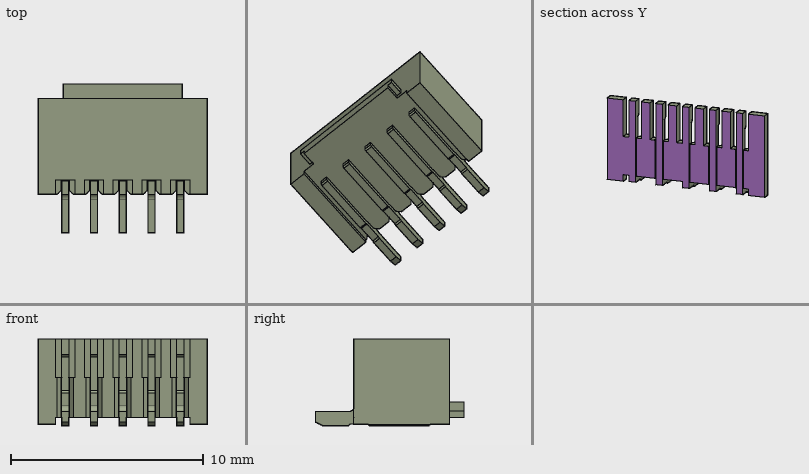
import cadquery as cq

HOUSING_WIDTH = 8.8
HOUSING_DEPTH = 5.0
HOUSING_HEIGHT = 4.45

PIN_COUNT = 5
PIN_PITCH = 1.5
PIN_WIDTH = 0.39

SLOT_WIDTH = 1.0
SLOT_DEPTH = 0.76
SLOT_HEIGHT = 2.0
GROOVE_WIDTH = 0.85
PASSAGE_WIDTH = 0.43

CHANNEL_HEIGHT = 0.35
CHANNEL_WIDTH = (PIN_COUNT - 1) * PIN_PITCH + SLOT_WIDTH

TAB_WIDTH = 6.195
TAB_LENGTH = 0.76
TAB_TOP = 1.18
TAB_STEP_TOP = 0.71
TAB_STEP_INSET = 0.25

PIN_BACK = 0.71
HEAD_HEIGHT = 0.82
NECK_RECESS = 0.15
NECK_UPPER_SLOPE = 0.11
NECK_LOWER_SLOPE = 0.14
NECK_LENGTH = 1.86
SHANK_RECESS = 0.05
FOOT_LENGTH = 2.0
FOOT_BOTTOM = -0.07
FOOT_HEIGHT = 0.75
FOOT_FILLET = 0.32
TOE_LENGTH = 0.39
TOE_HEIGHT = 0.19
STRIP_BOTTOM = 0.02
FOOT_HEEL = 0.185
PAD_FRONT = 0.83
PAD_BACK = 4.0


def box(width, y_front, y_back, z_bottom, z_top, x_centre=0.0):
    """Block centred on x_centre between the given Y and Z limits."""
    return (
        cq.Workplane("XY")
        .box(width, y_back - y_front, z_top - z_bottom, centered=(True, False, False))
        .translate((x_centre, y_front, z_bottom))
    )


def make_tab():
    tab_back = HOUSING_DEPTH + TAB_LENGTH
    lower_width = TAB_WIDTH - 2 * TAB_STEP_INSET
    upper = box(TAB_WIDTH, HOUSING_DEPTH, tab_back, TAB_STEP_TOP, TAB_TOP)
    lower = box(lower_width, HOUSING_DEPTH, tab_back, CHANNEL_HEIGHT, TAB_STEP_TOP)
    return upper.union(lower)


def slot_cutter(x_centre):
    """Open upper slot with a bevelled groove and a narrow pin passage below it."""
    slot_floor = HOUSING_HEIGHT - SLOT_HEIGHT
    slot = box(SLOT_WIDTH, 0, SLOT_DEPTH, slot_floor, HOUSING_HEIGHT, x_centre)
    half_groove = GROOVE_WIDTH / 2
    half_passage = PASSAGE_WIDTH / 2
    bevel = half_groove - half_passage
    groove = (
        cq.Workplane("XY")
        .moveTo(-half_groove, 0)
        .lineTo(-half_passage, bevel)
        .lineTo(-half_passage, PIN_BACK)
        .lineTo(half_passage, PIN_BACK)
        .lineTo(half_passage, bevel)
        .lineTo(half_groove, 0)
        .close()
        .extrude(slot_floor)
        .translate((x_centre, 0, 0))
    )
    return slot.union(groove)


def make_pin(x_centre):
    """Upright contact with a foot in front and a strip running back under the housing."""
    neck_top = HOUSING_HEIGHT - HEAD_HEIGHT
    neck_bottom = neck_top - NECK_LENGTH
    foot_top = FOOT_BOTTOM + FOOT_HEIGHT
    pad_height = STRIP_BOTTOM - FOOT_BOTTOM
    pin = (
        cq.Workplane("YZ")
        .moveTo(PIN_BACK, HOUSING_HEIGHT)
        .lineTo(0, HOUSING_HEIGHT)
        .lineTo(0, neck_top)
        .lineTo(NECK_RECESS, neck_top - NECK_UPPER_SLOPE)
        .lineTo(NECK_RECESS, neck_bottom)
        .lineTo(SHANK_RECESS, neck_bottom - NECK_LOWER_SLOPE)
        .lineTo(SHANK_RECESS, foot_top + FOOT_FILLET)
        .radiusArc((SHANK_RECESS - FOOT_FILLET, foot_top), FOOT_FILLET)
        .lineTo(-FOOT_LENGTH, foot_top)
        .lineTo(-FOOT_LENGTH, FOOT_BOTTOM + TOE_HEIGHT)
        .lineTo(TOE_LENGTH - FOOT_LENGTH, FOOT_BOTTOM)
        .lineTo(-FOOT_HEEL - pad_height, FOOT_BOTTOM)
        .lineTo(-FOOT_HEEL, STRIP_BOTTOM)
        .lineTo(PAD_FRONT - pad_height, STRIP_BOTTOM)
        .lineTo(PAD_FRONT, FOOT_BOTTOM)
        .lineTo(PAD_BACK - pad_height, FOOT_BOTTOM)
        .lineTo(PAD_BACK, STRIP_BOTTOM)
        .lineTo(PAD_BACK, CHANNEL_HEIGHT)
        .lineTo(PIN_BACK, CHANNEL_HEIGHT)
        .close()
        .extrude(PIN_WIDTH / 2, both=True)
    )
    return pin.translate((x_centre, 0, 0))


pin_positions = [(i - (PIN_COUNT - 1) / 2) * PIN_PITCH for i in range(PIN_COUNT)]

part = box(HOUSING_WIDTH, 0, HOUSING_DEPTH, 0, HOUSING_HEIGHT)
part = part.cut(box(CHANNEL_WIDTH, 0, HOUSING_DEPTH, 0, CHANNEL_HEIGHT))
part = part.union(make_tab())

for x_position in pin_positions:
    part = part.cut(slot_cutter(x_position))
    part = part.union(make_pin(x_position))

result = part